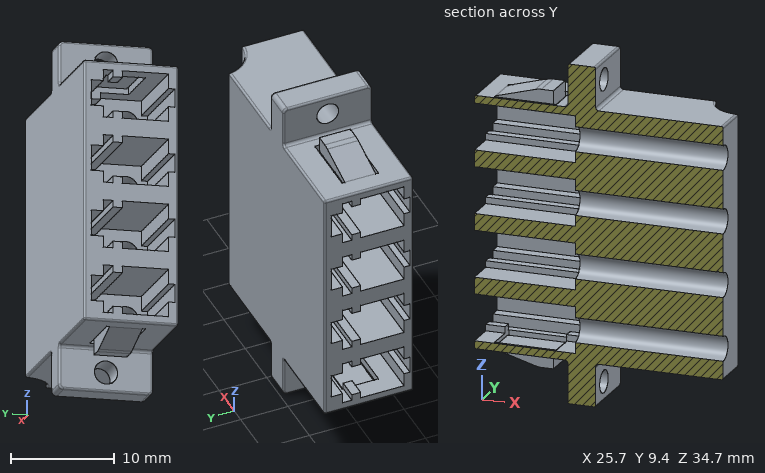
import cadquery as cq

length = 25.65
width = 9.4
body_height = 25.9
edge_radius = 0.2

total_height = 34.7
flange_start = 9.6
flange_end = 12.53
flange_tip_radius = 0.5
flange_root_radius = 0.3
flange_hole_radius = 1.15
flange_hole_from_tip = 1.95

relief_length = 3.33
relief_depth = 2.88

port_count = 4
port_pitch = 6.5
port_depth = 10.4
port_height = 4.72
port_left, port_right = 2.78, -3.7
keyway_left, keyway_height = 3.95, 2.55
tab_right, tab_height = -4.35, 1.8
rib_left, rib_right, rib_height = 1.8, 0.87, 0.65
bore_radius = 1.25
bore_y = -2.15

window_start = 2.0
window_end = 8.35
window_width = 3.85
latch_end = 7.95
latch_width = 3.25
latch_rise = 1.25
latch_thickness = 0.4
latch_peak = 6.4
latch_blend_radius = 2.25

half_body = body_height / 2
half_total = total_height / 2
half_width = width / 2
port_centers = [(i - (port_count - 1) / 2) * port_pitch for i in range(port_count)]


def block(x_range, y_range, z_range):
    """Axis-aligned box between the given pairs of limits."""
    size = [abs(b - a) for a, b in (x_range, y_range, z_range)]
    corner = [min(limits) for limits in (x_range, y_range, z_range)]
    return cq.Workplane("XY").box(*size, centered=False).translate(tuple(corner))


def x_cylinder(radius, y, z):
    """Cylinder along X that runs through the whole length."""
    return cq.Workplane("YZ").center(y, z).circle(radius).extrude(length)


def relief():
    """Cylinder that rounds off the corner and meets the back face squarely."""
    radius = (relief_length**2 + relief_depth**2) / (2 * relief_depth)
    center_y = half_width - relief_depth + radius
    return cq.Workplane("XY").center(length, center_y).circle(radius).extrude(half_total, both=True)


def shell_body():
    """Block and flange with their outer edges rounded, before any opening is cut."""
    body = block((0, length), (-half_width, half_width), (-half_body, half_body))
    flange = block((flange_start, flange_end), (-half_width, half_width), (-half_total, half_total))
    flange = flange.edges("|X").fillet(flange_tip_radius)
    body = body.union(flange)

    for side in (-1, 1):
        for x in (flange_start, flange_end):
            root = cq.selectors.NearestToPointSelector((x, 0, side * half_body))
            body = body.edges(root).fillet(flange_root_radius)
    body = body.cut(relief())

    corner_margin = 1.1
    relief_corner = cq.selectors.BoxSelector(
        (length - corner_margin * relief_length, half_width - corner_margin * relief_depth, -half_body / 2),
        (length + relief_length, half_width + relief_depth, half_body / 2),
    )
    outline = body.faces("<X or >X or <Y or >Y").edges(cq.Selector() - relief_corner)
    relief_arcs = body.edges(cq.selectors.RadiusNthSelector(-1))
    return outline.add(relief_arcs).fillet(edge_radius)


def port(z):
    """Keyed port cavity centred at height z, with its bore to the back."""

    def slot(left, right, height):
        return block((0, port_depth), (right, left), (z - height / 2, z + height / 2))

    cavity = slot(port_left, rib_left, port_height)
    cavity = cavity.union(slot(rib_left, rib_right, port_height - 2 * rib_height))
    cavity = cavity.union(slot(rib_right, port_right, port_height))
    cavity = cavity.union(slot(keyway_left, port_left, keyway_height))
    cavity = cavity.union(slot(port_right, tab_right, tab_height))
    return cavity.union(x_cylinder(bore_radius, bore_y, z))


def latch_window(side):
    """Opening through the body wall into the outermost port."""
    port_face = port_centers[-1] + port_height / 2 - rib_height
    y_limits = (-window_width / 2, window_width / 2)
    return block((window_start, window_end), y_limits, (side * port_face, side * half_body))


def latch(side):
    """Wedge-nosed tongue that springs from the front end of its window."""
    crest = half_body + latch_rise
    underside = half_body - latch_thickness
    points = [
        (window_start, underside),
        (window_start, half_body),
        (latch_peak, crest),
        (latch_end, crest),
        (latch_end, underside),
    ]
    wedge = (
        cq.Workplane("XZ")
        .polyline([(x, side * z) for x, z in points])
        .close()
        .extrude(latch_width / 2, both=True)
    )
    peak = cq.selectors.NearestToPointSelector((latch_peak, 0, side * crest))
    return wedge.edges(peak).fillet(latch_blend_radius)


def flange_hole(side):
    """Screw hole through the flange tip above or below the body."""
    return x_cylinder(flange_hole_radius, 0, side * (half_total - flange_hole_from_tip))


result = shell_body()

for center in port_centers:
    result = result.cut(port(center))

for side in (-1, 1):
    result = result.cut(flange_hole(side))
    result = result.cut(latch_window(side)).union(latch(side))